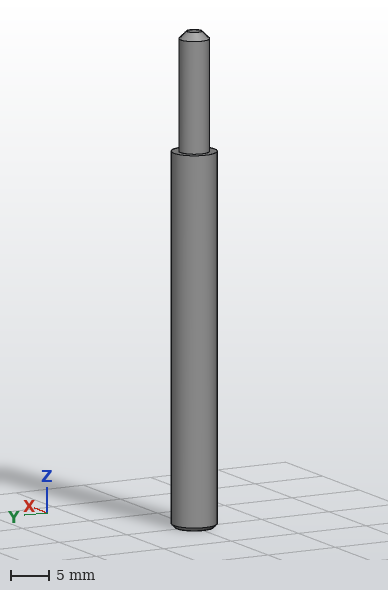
import cadquery as cq

total_length = 66.0
body_diameter = 6.0
pin_diameter = 4.0
tip_diameter = 2.0

pin_length = 16.0
tip_height = 1.0
body_chamfer = 0.5

body_length = total_length - pin_length
tip_chamfer = (pin_diameter - tip_diameter) / 2

body = (
    cq.Workplane("XY")
    .circle(body_diameter / 2)
    .extrude(body_length)
    .faces("<Z")
    .chamfer(body_chamfer)
)

pin = (
    cq.Workplane("XY", origin=(0, 0, body_length))
    .circle(pin_diameter / 2)
    .extrude(pin_length)
    .faces(">Z")
    .chamfer(tip_height, tip_chamfer)
)

result = body.union(pin)